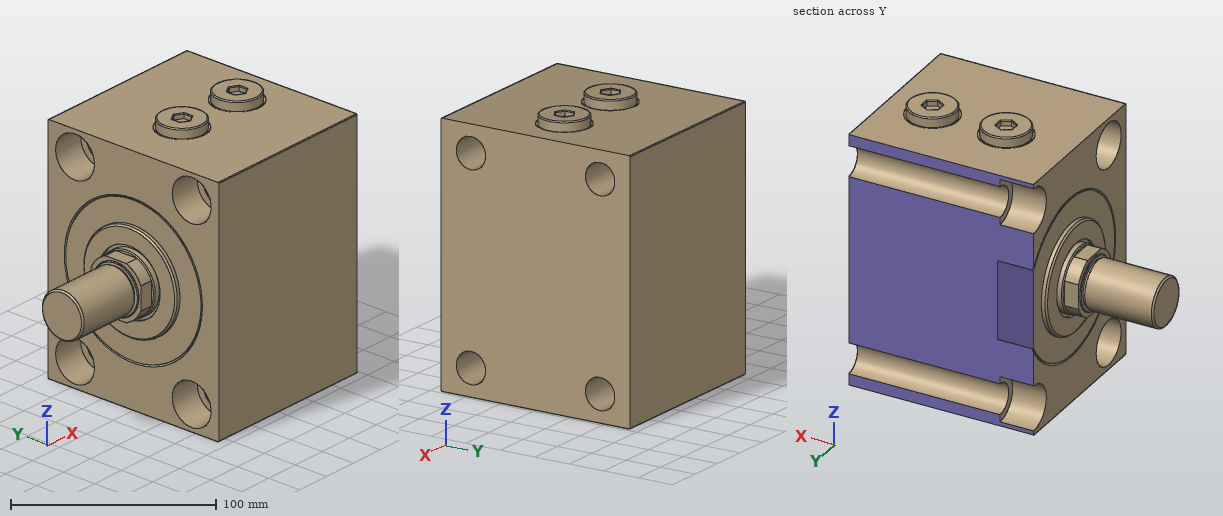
import cadquery as cq
import math


housing_length = 103.0
housing_width = 110.0
housing_height = 140.0
housing_edge_chamfer = 0.5

bolt_spacing_y = 75.0
bolt_spacing_z = 110.0
bolt_hole_diameter = 17.0
counterbore_diameter = 25.0
counterbore_depth = 18.7

gland_diameter = 87.0
gland_depth = 20.0
gland_seat_chamfer = 1.0
boss_diameter = 60.0
boss_height = 3.0
boss_chamfer = 1.0

wiper_diameter = 39.6
wiper_width = 5.0
wiper_recess = 1.5
wiper_front_x = -boss_height + wiper_recess
wiper_back_x = wiper_front_x + wiper_width

rod_diameter = 36.0
rod_shoulder_chamfer = 0.6
collar_diameter = 29.6
collar_length = 0.6
collar_chamfer = 0.5
wrench_length = 7.8
wrench_diameter = rod_diameter - 2 * rod_shoulder_chamfer
wrench_across_flats = 32.0
undercut_diameter = 25.3
undercut_length = 1.4
thread_diameter = 27.0
thread_length = 38.0
thread_chamfer = 1.0
tip_x = housing_length - 156.0
undercut_x = tip_x + thread_length
collar_x = undercut_x + undercut_length
wrench_start_x = collar_x + collar_length
wrench_end_x = wrench_start_x + wrench_length

port_positions_x = (36.2, 77.2)
plug_diameter = 25.9
plug_rise = 5.0
plug_top_z = housing_height / 2 + plug_rise
plug_chamfer = 0.6
spotface_diameter = 28.1
spotface_depth = 0.5
socket_across_flats = 8.7
socket_depth = 3.0
socket_chamfer = 0.5


def axial_cylinder(diameter, start_x, end_x):
    """Solid cylinder on the rod axis between two X positions."""
    return cq.Workplane("YZ", origin=(start_x, 0, 0)).circle(diameter / 2).extrude(end_x - start_x)


def make_housing():
    """Block with counterbored mounting holes, a gland seat and a spotface for each plug."""
    block = (
        cq.Workplane("XY")
        .box(housing_length, housing_width, housing_height, centered=(False, True, True))
        .edges("|X")
        .chamfer(housing_edge_chamfer)
    )
    block = (
        block.faces("<X")
        .workplane(centerOption="CenterOfBoundBox")
        .rect(bolt_spacing_y, bolt_spacing_z, forConstruction=True)
        .vertices()
        .cboreHole(bolt_hole_diameter, counterbore_diameter, counterbore_depth)
    )
    seat = axial_cylinder(gland_diameter, 0, gland_depth)
    seat_countersink = cq.Workplane("XY").add(
        cq.Solid.makeCone(
            gland_diameter / 2 + gland_seat_chamfer,
            gland_diameter / 2,
            gland_seat_chamfer,
            dir=cq.Vector(1, 0, 0),
        )
    )
    spotfaces = (
        cq.Workplane("XY", origin=(0, 0, housing_height / 2))
        .pushPoints([(x, 0) for x in port_positions_x])
        .circle(spotface_diameter / 2)
        .extrude(-spotface_depth)
    )
    return block.cut(seat).cut(seat_countersink).cut(spotfaces)


def make_gland():
    """Flush disc with a chamfered boss, bored for the rod and recessed for the wiper."""
    disc = axial_cylinder(gland_diameter, 0, gland_depth)
    boss = axial_cylinder(boss_diameter, -boss_height, 0).faces("<X").chamfer(boss_chamfer)
    bore = axial_cylinder(rod_diameter, -boss_height, gland_depth)
    wiper_seat = axial_cylinder(wiper_diameter, -boss_height, wiper_back_x)
    return disc.union(boss).cut(bore).cut(wiper_seat)


def make_wiper():
    """Ring that fills the space between the rod and the gland, behind an open groove."""
    return (
        cq.Workplane("YZ", origin=(wiper_front_x, 0, 0))
        .circle(wiper_diameter / 2)
        .circle(rod_diameter / 2)
        .extrude(wiper_width)
    )


def make_rod():
    """Round rod with a square wrench section, a small collar, an undercut and a plain threaded end."""
    shaft = axial_cylinder(rod_diameter, wrench_end_x, gland_depth).faces("<X").chamfer(rod_shoulder_chamfer)
    flats = (
        cq.Workplane("YZ", origin=(wrench_start_x, 0, 0))
        .rect(wrench_across_flats, wrench_across_flats)
        .extrude(wrench_length)
    )
    wrench_section = axial_cylinder(wrench_diameter, wrench_start_x, wrench_end_x).intersect(flats)
    collar = axial_cylinder(collar_diameter, collar_x, wrench_start_x).faces("<X").chamfer(collar_chamfer)
    undercut = axial_cylinder(undercut_diameter, undercut_x, collar_x)
    thread = axial_cylinder(thread_diameter, tip_x, undercut_x).faces("<X").chamfer(thread_chamfer)
    return shaft.union(wrench_section).union(collar).union(undercut).union(thread)


def hexagon_at(x, z, across_flats):
    """Hexagon outline at height z, with two sides facing along X."""
    across_corners = across_flats / math.cos(math.pi / 6)
    return (
        cq.Workplane("XY", origin=(x, 0, z))
        .transformed(rotate=(0, 0, 90))
        .polygon(6, across_corners)
    )


def make_plug(x):
    """Round plug standing in its spotface, with a chamfered hexagon socket."""
    plug = (
        cq.Workplane("XY", origin=(x, 0, housing_height / 2 - spotface_depth))
        .circle(plug_diameter / 2)
        .extrude(plug_rise + spotface_depth)
        .faces(">Z")
        .chamfer(plug_chamfer)
    )
    socket = hexagon_at(x, plug_top_z, socket_across_flats).extrude(-socket_depth)
    socket_mouth = hexagon_at(x, plug_top_z, socket_across_flats + 2 * socket_chamfer).extrude(
        -socket_chamfer, taper=45
    )
    return plug.cut(socket).cut(socket_mouth)


housing = make_housing()
gland = make_gland()
wiper = make_wiper()
rod = make_rod()
plugs = [make_plug(x) for x in port_positions_x]

result = cq.Compound.makeCompound(
    [housing.val(), gland.val(), wiper.val(), rod.val(), *[plug.val() for plug in plugs]]
)